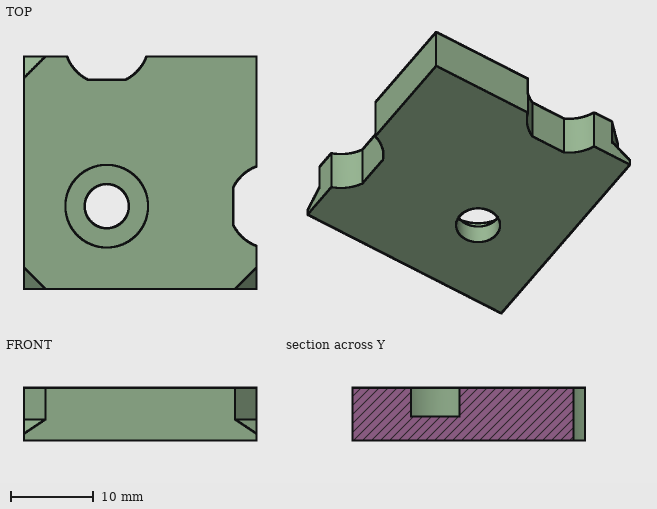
import cadquery as cq

side = 28.1
thickness = 6.4

hole_offset = 10.0
hole_diameter = 5.3
counterbore_diameter = 10.0
counterbore_depth = 3.45

notch_radius = 5.11
notch_center_outside = 1.77
notch_depth = 2.8

corner_leg = 2.6
corner_ledge_z = 2.59
corner_tip_z = 0.85


def make_plate():
    plate = cq.Workplane("XY").box(side, side, thickness, centered=False)
    return (
        plate.faces(">Z").workplane(origin=(hole_offset, hole_offset, thickness))
        .cboreHole(hole_diameter, counterbore_diameter, counterbore_depth)
    )


def make_top_notch():
    """Notch through the +Y edge: a cylinder cut flat at the notch floor."""
    cylinder = (
        cq.Workplane("XY")
        .center(hole_offset, side + notch_center_outside)
        .circle(notch_radius)
        .extrude(thickness)
    )
    kept_half = (
        cq.Workplane("XY", origin=(0, side - notch_depth, 0))
        .box(side, side, thickness, centered=False)
    )
    return cylinder.intersect(kept_half)


def make_corner_cut():
    """Cut at the origin corner: a triangular prism with a sloping bottom."""
    prism = (
        cq.Workplane("XY", origin=(0, 0, corner_tip_z))
        .polyline([(0, 0), (corner_leg, 0), (0, corner_leg)])
        .close()
        .extrude(thickness - corner_tip_z)
    )
    diagonal = cq.Plane(origin=(0, 0, corner_tip_z), xDir=(1, 1, 0), normal=(1, -1, 0))
    inward = corner_leg / 2**0.5
    wedge = (
        cq.Workplane(diagonal)
        .polyline([(0, 0), (inward, 0), (inward, corner_ledge_z - corner_tip_z)])
        .close()
        .extrude(corner_leg, both=True)
    )
    return prism.cut(wedge)


result = make_plate()

top_notch = make_top_notch()
right_notch = top_notch.mirror("YZ").rotate((0, 0, 0), (0, 0, 1), -90)
result = result.cut(top_notch).cut(right_notch)

plate_center = (side / 2, side / 2, 0)
axis_end = (side / 2, side / 2, 1)
corner_cut = make_corner_cut()
for angle in (-90, 0, 90):
    result = result.cut(corner_cut.rotate(plate_center, axis_end, angle))